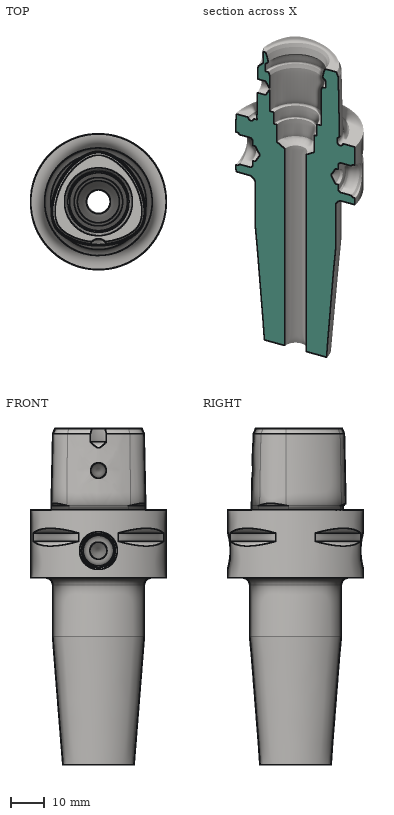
import cadquery as cq
import math

total_height = 99.0
collar_height = 20.0
collar_top = 75.0
collar_bottom = collar_top - collar_height
taper_top = 37.9

collar_radius = 20.0
neck_radius = 13.51
nose_radius = 10.5
neck_fillet = 2.1

lobe_height = 0.94
polygon_radius_base = 13.91
polygon_radius_top = 13.5
polygon_chamfer_inset = 0.7
polygon_chamfer_height = 1.6
polygon_taper_start = 76.4
lobe_half_angle = 30
face_samples = 8

relief_inner_radius = 14.1
relief_outer_radius = 15.8
relief_wall_top = 76.2

mouth_radius = 10.0
throat_radius = 9.0
mouth_chamfer_radius = 9.5
mouth_chamfer_depth = 1.1
clamp_groove_start = 3.2
clamp_groove_end = 6.5
ledge_bevel_height = 1.2
bore_radius = 8.5
bore_depth = 19.8
step_radius = 7.1
step_depth = 23.8
pilot_radius = 6.19
pilot_depth = 29.7
through_radius = 3.5

slot_floor_distance = 17.6
slot_center_height = 67.0
slot_floor_width = 2.4
slot_mouth_width = 5.2

pocket_height = 63.1
pocket_radius = 5.0
pocket_mouth_radius = 5.5
pocket_chamfer_start = 19.2
pocket_floor_distance = 14.5
pocket_floor_bevel = 0.5
pocket_drill_radius = 2.52
pocket_drill_depth = 1.0

drill_tip_half_angle = 59
mark_radius = 2.3
mark_height = 86.6
mark_end_distance = 10.0
notch_radius = 2.6
notch_center_distance = 13.5
notch_depth = 4.0
cut_clearance = 2.0


def polygon_point(radius, degrees):
    """Point whose outward normal lies at the given angle from the +Y lobe."""
    angle = math.radians(degrees)
    support = radius + lobe_height * math.cos(3 * angle)
    slope = -3 * lobe_height * math.sin(3 * angle)
    along = support * math.cos(angle) - slope * math.sin(angle)
    across = support * math.sin(angle) + slope * math.cos(angle)
    return cq.Vector(-across, along, 0)


def polygon_wire(radius, height):
    """Closed outline with alternating lobe and flank curves."""
    span = 2 * lobe_half_angle
    edges = []
    for face in range(6):
        start = -lobe_half_angle + face * span
        angles = [start + span * i / face_samples for i in range(face_samples + 1)]
        points = [polygon_point(radius, a) + cq.Vector(0, 0, height) for a in angles]
        tangents = [
            cq.Vector(-math.cos(math.radians(a)), -math.sin(math.radians(a)), 0)
            for a in (angles[0], angles[-1])
        ]
        edges.append(cq.Edge.makeSpline(points, tangents=tangents))
    return cq.Wire.assembleEdges(edges)


def polygon_section(lower_radius, lower_height, upper_radius, upper_height):
    lower = polygon_wire(lower_radius, lower_height)
    upper = polygon_wire(upper_radius, upper_height)
    return cq.Workplane(obj=cq.Solid.makeLoft([lower, upper], True))


def make_polygon():
    chamfer_start = total_height - polygon_chamfer_height
    foot = polygon_section(
        polygon_radius_base, collar_top - cut_clearance, polygon_radius_base, polygon_taper_start
    )
    taper = polygon_section(
        polygon_radius_base, polygon_taper_start, polygon_radius_top, chamfer_start
    )
    chamfer = polygon_section(
        polygon_radius_top, chamfer_start, polygon_radius_top - polygon_chamfer_inset, total_height
    )
    return foot.union(taper).union(chamfer)


def make_shank():
    return (
        cq.Workplane("XZ")
        .lineTo(nose_radius, 0)
        .lineTo(neck_radius, taper_top)
        .lineTo(neck_radius, collar_bottom - neck_fillet)
        .radiusArc((neck_radius + neck_fillet, collar_bottom), neck_fillet)
        .lineTo(collar_radius, collar_bottom)
        .lineTo(collar_radius, collar_top)
        .lineTo(0, collar_top)
        .close()
        .revolve(360, (0, 0), (0, 1))
    )


def make_relief_groove():
    """Round-bottomed groove in the collar, with a 45 degree undercut below the lobes."""
    half_width = (relief_outer_radius - relief_inner_radius) / 2
    middle_radius = relief_inner_radius + half_width
    undercut_top = relief_wall_top + relief_outer_radius - relief_inner_radius
    return (
        cq.Workplane("XZ")
        .moveTo(relief_inner_radius, collar_top)
        .threePointArc((middle_radius, collar_top - half_width), (relief_outer_radius, collar_top))
        .lineTo(relief_outer_radius, undercut_top)
        .lineTo(relief_inner_radius, relief_wall_top)
        .close()
        .revolve(360, (0, 0), (0, 1))
    )


def make_bore():
    tip_depth = (pilot_radius - through_radius) / math.tan(math.radians(drill_tip_half_angle))
    radius_and_depth = [
        (mouth_radius, 0),
        (mouth_chamfer_radius, mouth_chamfer_depth),
        (throat_radius, clamp_groove_start),
        (mouth_radius, clamp_groove_start + mouth_radius - throat_radius),
        (mouth_radius, clamp_groove_end),
        (throat_radius, clamp_groove_end),
        (bore_radius, clamp_groove_end + ledge_bevel_height),
        (bore_radius, bore_depth),
        (step_radius, bore_depth),
        (step_radius, step_depth),
        (pilot_radius, step_depth),
        (pilot_radius, pilot_depth),
        (through_radius, pilot_depth + tip_depth),
        (through_radius, total_height),
        (0, total_height),
        (0, 0),
    ]
    profile = [(radius, total_height - depth) for radius, depth in radius_and_depth]
    return cq.Workplane("XZ").polyline(profile).close().revolve(360, (0, 0), (0, 1))


def make_gripper_slot(angle):
    floor_half = slot_floor_width / 2
    mouth_half = slot_mouth_width / 2
    outer_distance = collar_radius + cut_clearance
    flare = (mouth_half - floor_half) / (collar_radius - slot_floor_distance)
    outer_half = floor_half + flare * (outer_distance - slot_floor_distance)
    return (
        cq.Workplane("XZ")
        .polyline(
            [
                (slot_floor_distance, slot_center_height - floor_half),
                (outer_distance, slot_center_height - outer_half),
                (outer_distance, slot_center_height + outer_half),
                (slot_floor_distance, slot_center_height + floor_half),
            ]
        )
        .close()
        .extrude(collar_radius, both=True)
        .rotate((0, 0, 0), (0, 0, 1), angle)
    )


def make_radial_cut(height, radius_and_distance):
    """Round cut along -Y; each point gives a radius and a distance from the axis."""
    profile = [(radius, -distance) for radius, distance in radius_and_distance]
    return (
        cq.Workplane("XY")
        .polyline(profile)
        .close()
        .revolve(360, (0, 0), (0, 1))
        .translate((0, 0, height))
    )


def make_pocket():
    outer_distance = collar_radius + cut_clearance
    drill_end = pocket_floor_distance - pocket_drill_depth
    tip = pocket_drill_radius / math.tan(math.radians(drill_tip_half_angle))
    return make_radial_cut(
        pocket_height,
        [
            (0, outer_distance),
            (pocket_mouth_radius, outer_distance),
            (pocket_mouth_radius, pocket_chamfer_start),
            (pocket_radius, pocket_chamfer_start - (pocket_mouth_radius - pocket_radius)),
            (pocket_radius, pocket_floor_distance + pocket_floor_bevel),
            (pocket_radius - pocket_floor_bevel, pocket_floor_distance),
            (pocket_drill_radius, pocket_floor_distance),
            (pocket_drill_radius, drill_end),
            (0, drill_end - tip),
        ],
    )


def make_mark():
    tip = mark_radius / math.tan(math.radians(drill_tip_half_angle))
    outer_distance = polygon_radius_base + cut_clearance
    return make_radial_cut(
        mark_height,
        [
            (0, outer_distance),
            (mark_radius, outer_distance),
            (mark_radius, mark_end_distance),
            (0, mark_end_distance - tip),
        ],
    )


def make_notch():
    """Vertical drill cut with a right-angled tip, open to the polygon face."""
    floor = total_height - notch_depth
    return (
        cq.Workplane("XZ")
        .polyline(
            [
                (0, total_height),
                (notch_radius, total_height),
                (notch_radius, floor),
                (0, floor - notch_radius),
            ]
        )
        .close()
        .revolve(360, (0, 0), (0, 1))
        .translate((0, -notch_center_distance, 0))
    )


result = make_shank().union(make_polygon())
result = result.cut(make_relief_groove()).cut(make_bore())
for slot_angle in (45, 135, 225, 315):
    result = result.cut(make_gripper_slot(slot_angle))
for pocket_angle in (0, 180):
    result = result.cut(make_pocket().rotate((0, 0, 0), (0, 0, 1), pocket_angle))
result = result.cut(make_mark()).cut(make_notch())